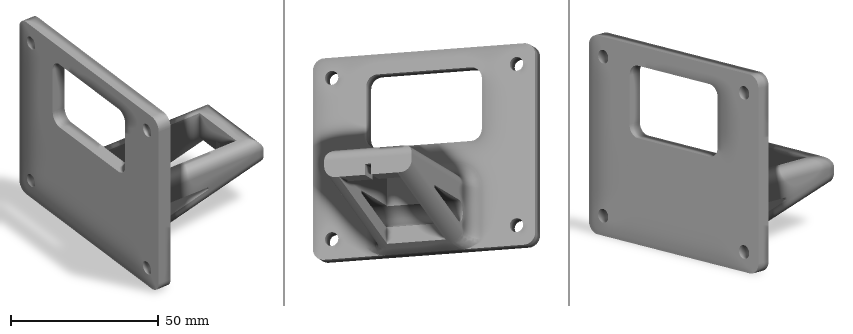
import cadquery as cq
import math

plate_width = 80.0
plate_height = 70.0
plate_thickness = 5.0
plate_corner_radius = 4.0

hole_diameter = 4.8
hole_side_inset = 6.7
hole_end_inset = 7.0

plate_window_width = 41.6
plate_window_bottom = 37.4
plate_window_top = plate_height - hole_end_inset
plate_window_radius = 4.0

total_depth = 62.0
arm_width = 31.5
arm_top = 25.3
underside_angle = 15.0
arm_edge_radius = 4.0
root_radius = 5.0

arm_window_width = 21.0
arm_window_start = 12.8
arm_window_end = 54.3

side_window_start = 10.1
side_window_end = 38.8
side_window_radius = 3.7
lower_rail_height = 5.3

slot_width = 2.2
slot_top = 19.0

tolerance = 0.1

underside_slope = math.tan(math.radians(underside_angle))


def underside_z(y):
    """Height of the arm's sloping underside at distance y from the front face."""
    return (y - plate_thickness) * underside_slope


tip_bottom = underside_z(total_depth)


def block(width, y_start, y_end, z_start, z_end):
    """Box centred on X that spans the given Y and Z ranges."""
    size = (width, y_end - y_start, z_end - z_start)
    return cq.Workplane("XY").box(*size, centered=(True, False, False)).translate((0, y_start, z_start))


def side_prism(outline, width):
    """Prism centred on X with a closed (Y, Z) outline."""
    return cq.Workplane("YZ").polyline(outline).close().extrude(width / 2, both=True)


def make_body():
    """Plate and arm blended together, before any openings."""
    plate = block(plate_width, 0, plate_thickness, 0, plate_height)
    plate = plate.edges("|Y").fillet(plate_corner_radius)
    arm = block(arm_width, 0, total_depth, 0, arm_top)
    arm = arm.faces(">Z").edges("|Y or >Y").fillet(arm_edge_radius)
    body = plate.union(arm)

    root_zone = cq.selectors.BoxSelector(
        (-arm_width, plate_thickness - tolerance, tolerance),
        (arm_width, plate_thickness + tolerance, arm_top + tolerance),
    )
    body = body.edges(root_zone).fillet(root_radius)

    wedge = [(plate_thickness, 0), (total_depth, 0), (total_depth, tip_bottom)]
    body = body.cut(side_prism(wedge, plate_width))
    underside_zone = cq.selectors.BoxSelector(
        (-arm_width, plate_thickness, tolerance),
        (arm_width, total_depth, tip_bottom),
    )
    underside = body.faces(underside_zone).faces("<Z")
    return underside.edges("not |X").fillet(arm_edge_radius)


def make_plate_window():
    window = block(plate_window_width, 0, plate_thickness, plate_window_bottom, plate_window_top)
    return window.edges("|Y").fillet(plate_window_radius)


def make_plate_holes():
    spacing_x = plate_width - 2 * hole_side_inset
    spacing_z = plate_height - 2 * hole_end_inset
    return (
        cq.Workplane("XZ", origin=(0, 0, plate_height / 2))
        .rarray(spacing_x, spacing_z, 2, 2)
        .circle(hole_diameter / 2)
        .extrude(-plate_thickness)
    )


def make_arm_window():
    """Vertical opening, with its lower part run out through the foot of the end wall."""
    shaft = block(arm_window_width, arm_window_start, arm_window_end, 0, arm_top)
    foot = block(arm_window_width, arm_window_start, total_depth, 0, tip_bottom)
    return shaft.union(foot)


def make_side_window():
    """Wedge-shaped opening with a level top, rounded at its plate end."""
    outline = [
        (side_window_start, tip_bottom),
        (side_window_start, underside_z(side_window_start) + lower_rail_height),
        (side_window_end, underside_z(side_window_end) + lower_rail_height),
        (side_window_end, tip_bottom),
    ]
    return side_prism(outline, arm_width).edges("|X and <Y").fillet(side_window_radius)


def make_end_slot():
    return block(slot_width, arm_window_end, total_depth, tip_bottom, slot_top)


result = make_body()
for opening in (make_plate_window, make_plate_holes, make_arm_window, make_side_window, make_end_slot):
    result = result.cut(opening())